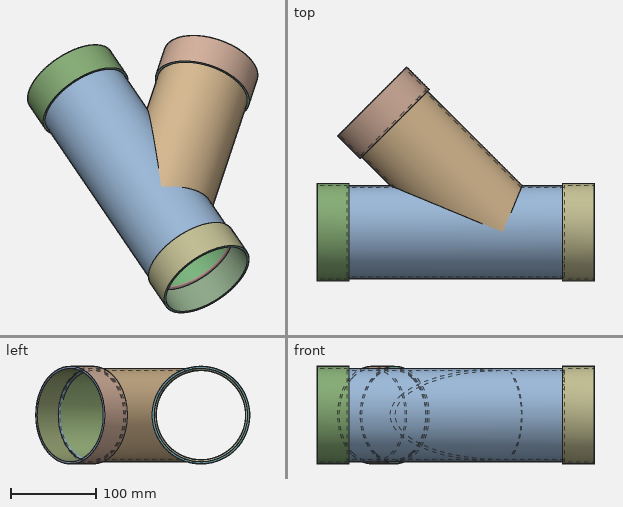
import cadquery as cq
import math

run_length = 326.0
branch_length = 217.5
junction_x = 218.5
branch_angle = 135.0
socket_length = 37.5
bore_diameter = 105.0
pipe_diameter = 110.0
socket_diameter = 115.0

bore_radius = bore_diameter / 2
pipe_radius = pipe_diameter / 2
lip_radius = pipe_radius - bore_radius
socket_depth = socket_length - lip_radius


def cylinder(diameter, length):
    """Cylinder along +X from the origin."""
    return cq.Workplane("YZ").circle(diameter / 2).extrude(length)


def socket_outer():
    """Wide outside of a mouth at the origin, reaching along +X."""
    return cylinder(socket_diameter, socket_length)


def socket_inner():
    """Opening of a mouth at the origin: socket, rounded lip and start of the bore."""
    lip_offset = lip_radius * math.sqrt(0.5)
    lip_middle = (socket_length - lip_offset, pipe_radius - lip_offset)
    return (
        cq.Workplane("XY")
        .lineTo(0, pipe_radius)
        .lineTo(socket_depth, pipe_radius)
        .threePointArc(lip_middle, (socket_length, bore_radius))
        .lineTo(socket_length, 0)
        .close()
        .revolve(360, (0, 0, 0), (1, 0, 0))
    )


def at_far_end(mouth, length):
    """Turn a mouth round so that it opens at the far end of a pipe."""
    return mouth.rotate((0, 0, 0), (0, 0, 1), 180).translate((length, 0, 0))


def place_branch(body):
    """Turn a body lying along +X from the origin onto the branch axis."""
    return body.rotate((0, 0, 0), (0, 0, 1), branch_angle).translate((junction_x, 0, 0))


def run_body(diameter, mouth):
    """Straight run with a mouth at both ends."""
    return cylinder(diameter, run_length).union(mouth).union(at_far_end(mouth, run_length))


def branch_body(diameter, mouth):
    """Slanted branch with a mouth at its free end."""
    branch = cylinder(diameter, branch_length).union(at_far_end(mouth, branch_length))
    return place_branch(branch)


outer = run_body(pipe_diameter, socket_outer()).union(branch_body(pipe_diameter, socket_outer()))
run_passage = run_body(bore_diameter, socket_inner())
branch_passage = branch_body(bore_diameter, socket_inner())
result = outer.cut(run_passage).cut(branch_passage)